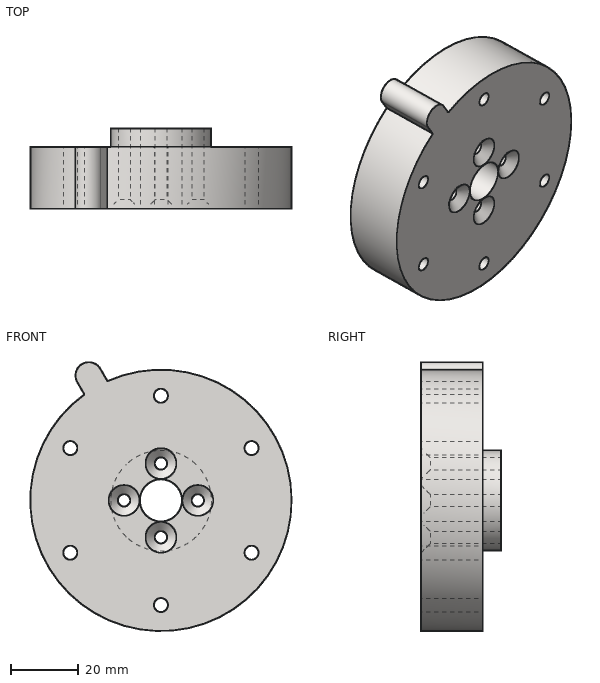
import cadquery as cq
import math

plate_diameter = 78.0
plate_thickness = 18.5

boss_diameter = 30.0
boss_height = 5.5
total_depth = plate_thickness + boss_height

tab_width = 8.0
tab_end_radius = 43.0
tab_lean_angle = 30.0

bore_diameter = 12.5
rim_hole_count = 6
rim_hole_diameter = 4.1
rim_hole_circle_radius = 31.2
screw_hole_count = 4
screw_hole_diameter = 3.6
screw_circle_radius = 11.0
countersink_diameter = 9.2
countersink_angle = 90.0


def cylinder_along_y(diameter, start, length):
    """Solid cylinder on the Y axis, growing toward +Y from Y = start."""
    return cq.Workplane("XZ", origin=(0, start, 0)).circle(diameter / 2).extrude(-length)


def points_on_circle(radius, count):
    """X, Z places evenly spaced on a circle, the first one straight up."""
    step = 2 * math.pi / count
    return [(radius * math.sin(i * step), radius * math.cos(i * step)) for i in range(count)]


def make_body():
    plate = cylinder_along_y(plate_diameter, 0, plate_thickness)
    boss = cylinder_along_y(boss_diameter, plate_thickness, boss_height)
    return plate.union(boss)


def make_tab():
    """Tab reaching from the plate axis to its round end, over the full plate thickness."""
    half_width = tab_width / 2
    tab = (
        cq.Workplane("XZ")
        .moveTo(-half_width, 0)
        .lineTo(-half_width, tab_end_radius)
        .threePointArc((0, tab_end_radius + half_width), (half_width, tab_end_radius))
        .lineTo(half_width, 0)
        .close()
        .extrude(-plate_thickness)
    )
    return tab.rotate((0, 0, 0), (0, 1, 0), -tab_lean_angle)


def make_countersunk_hole():
    """Cutter on the Y axis: a through hole with a cone opening on the front face."""
    hole_radius = screw_hole_diameter / 2
    sink_radius = countersink_diameter / 2
    sink_depth = (sink_radius - hole_radius) / math.tan(math.radians(countersink_angle / 2))
    profile = [
        (0, 0),
        (sink_radius, 0),
        (hole_radius, sink_depth),
        (hole_radius, total_depth),
        (0, total_depth),
    ]
    return cq.Workplane("XY").polyline(profile).close().revolve(360, (0, 0, 0), (0, 1, 0))


def cut_at_points(body, cutter, points):
    for x, z in points:
        body = body.cut(cutter.translate((x, 0, z)))
    return body


result = make_body().union(make_tab())
result = result.cut(cylinder_along_y(bore_diameter, 0, total_depth))

rim_hole = cylinder_along_y(rim_hole_diameter, 0, plate_thickness)
result = cut_at_points(result, rim_hole, points_on_circle(rim_hole_circle_radius, rim_hole_count))

screw_points = points_on_circle(screw_circle_radius, screw_hole_count)
result = cut_at_points(result, make_countersunk_hole(), screw_points)